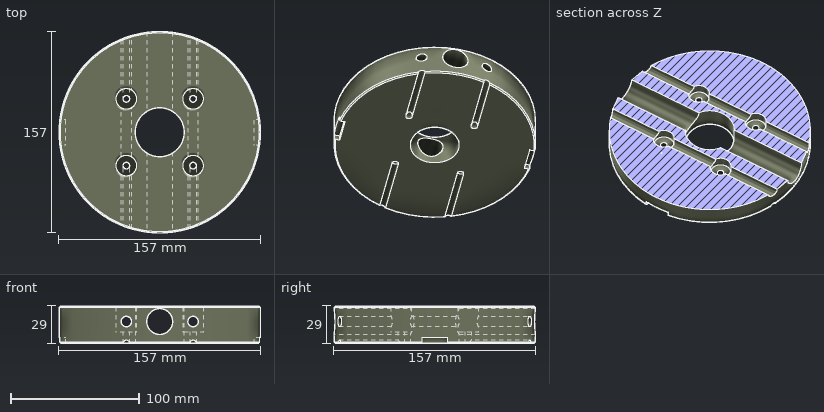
import cadquery as cq

DISC_DIAMETER = 157.0
DISC_HEIGHT = 29.0
RIM_CHAMFER = 1.0
DISC_RADIUS = DISC_DIAMETER / 2

BORE_DIAMETER = 38.0

DRILL_HEIGHT = 17.0
MAIN_DRILL_DIAMETER = 20.0
SIDE_DRILL_DIAMETER = 8.0

STATION_OFFSET = 26.0
POCKET_DIAMETER = 16.0
POCKET_DEPTH = 20.0
POCKET_EDGE_RADIUS = 2.0
FLOOR_HOLE_DIAMETER = 5.0

SLOT_WIDTH = 20.0
SLOT_HEIGHT = 4.7
SLOT_DEPTH = 5.0

GROOVE_RADIUS = FLOOR_HOLE_DIAMETER / 2

SIDES = (-1, 1)


def make_disc():
    """Solid disc standing on Z = 0, chamfered at both rims."""
    disc = cq.Workplane("XY").circle(DISC_RADIUS).extrude(DISC_HEIGHT)
    return disc.faces("<Z or >Z").edges().chamfer(RIM_CHAMFER)


def vertical_hole(x, y, diameter):
    """Cylinder along Z through the whole disc."""
    return cq.Workplane("XY").center(x, y).circle(diameter / 2).extrude(DISC_HEIGHT)


def cross_drill(x, diameter):
    """Cylinder along Y through the whole disc at drilling height."""
    drill = cq.Workplane("XZ").center(x, DRILL_HEIGHT).circle(diameter / 2)
    return drill.extrude(DISC_RADIUS, both=True)


def pocket(x, y):
    """Flat-bottomed pocket that flares out to the top face over a rounded edge."""
    radius = POCKET_DIAMETER / 2
    sunk_shape = (
        cq.Workplane("XZ")
        .moveTo(0, DISC_HEIGHT - POCKET_DEPTH)
        .lineTo(radius, DISC_HEIGHT - POCKET_DEPTH)
        .lineTo(radius, DISC_HEIGHT - POCKET_EDGE_RADIUS)
        .radiusArc((radius + POCKET_EDGE_RADIUS, DISC_HEIGHT), POCKET_EDGE_RADIUS)
        .lineTo(0, DISC_HEIGHT)
        .close()
        .revolve(360, (0, 0, 0), (0, 1, 0))
    )
    return sunk_shape.translate((x, y, 0))


def rim_slot(side):
    """Rectangular slot open to the underside and to the rim on one X side."""
    slot = cq.Workplane("XY").rect(2 * SLOT_DEPTH, SLOT_WIDTH).extrude(SLOT_HEIGHT)
    return slot.translate((side * DISC_RADIUS, 0, 0))


def floor_groove(x, side):
    """Half-round groove in the underside, running along Y from a floor hole out past the rim."""
    profile = (
        cq.Workplane("XZ")
        .moveTo(x - GROOVE_RADIUS, 0)
        .threePointArc((x, GROOVE_RADIUS), (x + GROOVE_RADIUS, 0))
        .close()
    )
    groove = profile.extrude(-(DISC_RADIUS - STATION_OFFSET)).translate((0, STATION_OFFSET, 0))
    return groove if side > 0 else groove.mirror("XZ")


result = make_disc()
result = result.cut(vertical_hole(0, 0, BORE_DIAMETER))
result = result.cut(cross_drill(0, MAIN_DRILL_DIAMETER))

for x_side in SIDES:
    x = x_side * STATION_OFFSET
    result = result.cut(cross_drill(x, SIDE_DRILL_DIAMETER))
    result = result.cut(rim_slot(x_side))
    for y_side in SIDES:
        y = y_side * STATION_OFFSET
        result = result.cut(pocket(x, y))
        result = result.cut(vertical_hole(x, y, FLOOR_HOLE_DIAMETER))
        result = result.cut(floor_groove(x, y_side))